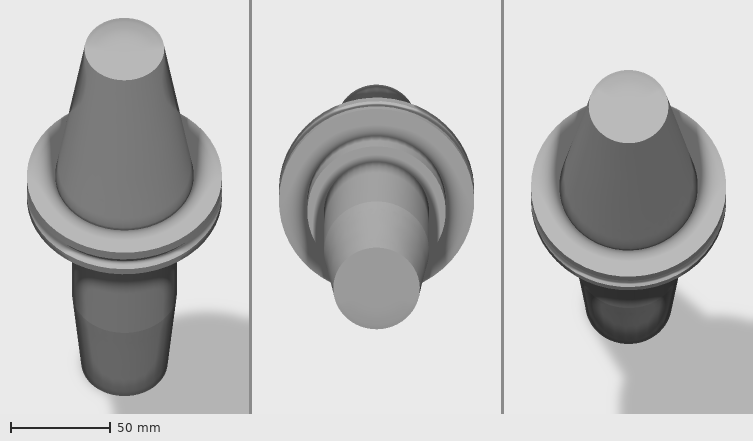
import cadquery as cq
import math

total_length = 254.0
taper_length = 101.5
nose_end_z = taper_length - total_length

gauge_diameter = 69.8
taper_ratio = 7 / 24
taper_end_diameter = gauge_diameter - taper_ratio * taper_length

flange_diameter = 98.5
flange_gap = 1.5
flange_thickness = 17.5
flange_top_z = -flange_gap
flange_bottom_z = flange_top_z - flange_thickness
groove_diameter = 91.5
groove_center_z = -11.0
groove_floor_width = 3.8
groove_wall_angle = 30.0

collar_length = 16.0
collar_bottom_z = flange_bottom_z - collar_length
nose_diameter = 53.0
nose_tip_diameter = 43.7
nose_taper_length = 57.2
nose_taper_z = nose_end_z + nose_taper_length


def make_cylinder(diameter, bottom_z, top_z):
    """Solid cylinder on the Z axis between two heights."""
    return cq.Workplane("XY", origin=(0, 0, bottom_z)).circle(diameter / 2).extrude(top_z - bottom_z)


def make_cone(bottom_diameter, top_diameter, bottom_z, top_z):
    """Solid truncated cone on the Z axis between two heights."""
    return (
        cq.Workplane("XY", origin=(0, 0, bottom_z))
        .circle(bottom_diameter / 2)
        .workplane(offset=top_z - bottom_z)
        .circle(top_diameter / 2)
        .loft(ruled=True)
    )


def make_flange():
    """Flange disc revolved with its gripper groove."""
    outer_radius = flange_diameter / 2
    floor_radius = groove_diameter / 2
    wall_height = (outer_radius - floor_radius) * math.tan(math.radians(groove_wall_angle))
    half_floor = groove_floor_width / 2
    half_mouth = half_floor + wall_height
    return (
        cq.Workplane("XZ")
        .moveTo(0, flange_bottom_z)
        .lineTo(outer_radius, flange_bottom_z)
        .lineTo(outer_radius, groove_center_z - half_mouth)
        .lineTo(floor_radius, groove_center_z - half_floor)
        .lineTo(floor_radius, groove_center_z + half_floor)
        .lineTo(outer_radius, groove_center_z + half_mouth)
        .lineTo(outer_radius, flange_top_z)
        .lineTo(0, flange_top_z)
        .close()
        .revolve(360, (0, 0, 0), (0, 1, 0))
    )


taper = make_cone(gauge_diameter, taper_end_diameter, 0, taper_length)
gauge_band = make_cylinder(gauge_diameter, flange_top_z, 0)
collar = make_cylinder(gauge_diameter, collar_bottom_z, flange_bottom_z)
nose = make_cylinder(nose_diameter, nose_taper_z, collar_bottom_z)
nose_taper = make_cone(nose_tip_diameter, nose_diameter, nose_end_z, nose_taper_z)

result = make_flange()
for section in (gauge_band, taper, collar, nose, nose_taper):
    result = result.union(section)